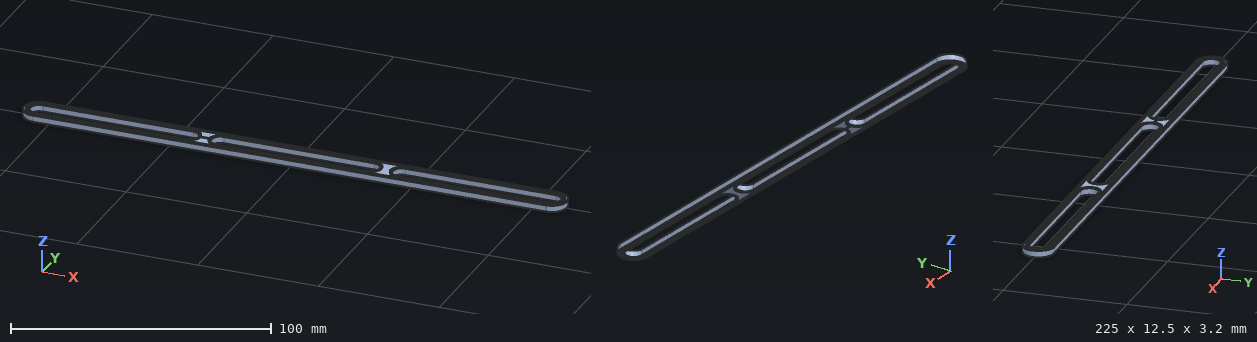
import cadquery as cq

length = 225.0
width = 12.5
thickness = 3.2

slot_count = 3
rim = 2.7
web = 2 * rim
slot_width = width - 2 * rim
slot_length = (length - 2 * rim - (slot_count - 1) * web) / slot_count
slot_pitch = slot_length + web

edge_chamfer = 0.34

outer_lip = 1.1
slot_lip = 1.0
recess_depth = 0.2

rib_width = 0.5
rib_x = -slot_pitch / 2


def round_ended_bar(margin, height):
    """Outer outline of the bar, pulled in by the margin."""
    return cq.Workplane("XY").slot2D(length - 2 * margin, width - 2 * margin).extrude(height)


def slot_row(margin, height):
    """All the slots, grown by the margin."""
    return (
        cq.Workplane("XY")
        .rarray(slot_pitch, 2.2, slot_count, 1)
        .slot2D(slot_length + 2 * margin, slot_width + 2 * margin)
        .extrude(height)
    )


body = round_ended_bar(0, thickness).cut(slot_row(0, thickness))
body = body.faces("|Z").edges().chamfer(edge_chamfer)

rib = cq.Workplane("XY").center(rib_x, 0).rect(web, rib_width).extrude(recess_depth)
recess = round_ended_bar(outer_lip, recess_depth).cut(slot_row(slot_lip, recess_depth)).cut(rib)
for recess_base in (0, thickness - recess_depth):
    body = body.cut(recess.translate((0, 0, recess_base)))

result = body.translate((0, 0, -thickness / 2))